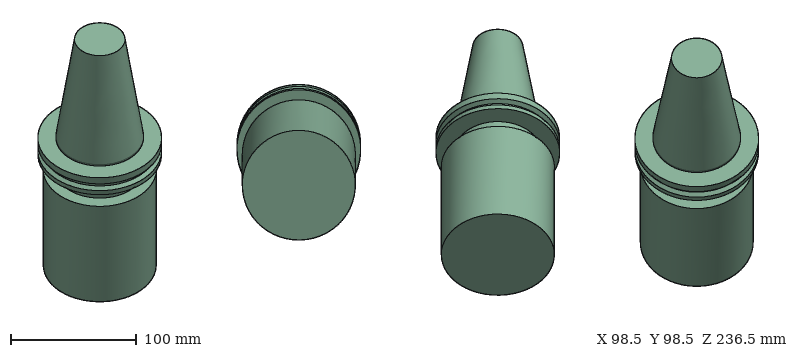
import cadquery as cq

total_height = 236.5
body_diameter = 90.0
neck_diameter = 69.8
flange_diameter = 98.5
groove_diameter = 91.3

body_top = 100.0
flange_bottom = 116.0
flange_top = 133.7
taper_start = 135.0

groove_bottom = 120.2
groove_width = 7.0
groove_side_height = 2.0

taper_rate = 7 / 24
taper_tip_diameter = neck_diameter - taper_rate * (total_height - taper_start)


def cylinder(diameter, bottom, top):
    """Solid cylinder about Z between two heights."""
    return cq.Workplane("XY").workplane(offset=bottom).circle(diameter / 2).extrude(top - bottom)


def revolve_profile(points):
    """Revolve a closed (radius, height) outline about Z."""
    return cq.Workplane("XZ").polyline(points).close().revolve(360, (0, 0), (0, 1))


def make_taper():
    return revolve_profile([
        (0, taper_start),
        (neck_diameter / 2, taper_start),
        (taper_tip_diameter / 2, total_height),
        (0, total_height),
    ])


def make_flange():
    groove_top = groove_bottom + groove_width
    outer_radius = flange_diameter / 2
    floor_radius = groove_diameter / 2
    return revolve_profile([
        (0, flange_bottom),
        (outer_radius, flange_bottom),
        (outer_radius, groove_bottom),
        (floor_radius, groove_bottom + groove_side_height),
        (floor_radius, groove_top - groove_side_height),
        (outer_radius, groove_top),
        (outer_radius, flange_top),
        (0, flange_top),
    ])


body = cylinder(body_diameter, 0, body_top)
neck = cylinder(neck_diameter, body_top, taper_start)

result = body.union(neck).union(make_flange()).union(make_taper())